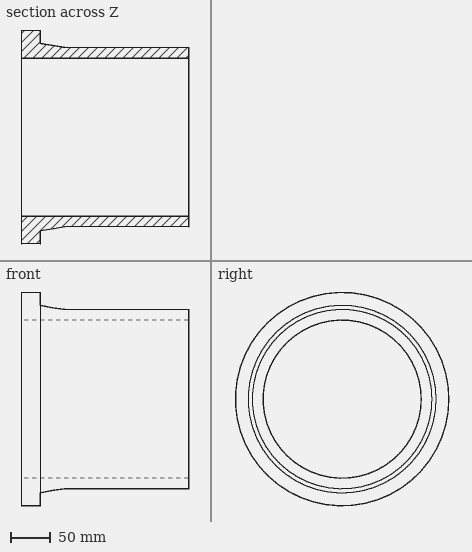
import cadquery as cq

total_length = 210.0
flange_diameter = 268.0
flange_thickness = 23.5
hub_diameter = 235.5
hub_length = 32.2
pipe_diameter = 225.0
bore_diameter = 198.0

hub_end = flange_thickness + hub_length
bore_radius = bore_diameter / 2
flange_radius = flange_diameter / 2
hub_radius = hub_diameter / 2
pipe_radius = pipe_diameter / 2

wall_section = [
    (0, bore_radius),
    (0, flange_radius),
    (flange_thickness, flange_radius),
    (flange_thickness, hub_radius),
    (hub_end, pipe_radius),
    (total_length, pipe_radius),
    (total_length, bore_radius),
]

result = (
    cq.Workplane("XY")
    .polyline(wall_section)
    .close()
    .revolve(360, (0, 0, 0), (1, 0, 0))
)